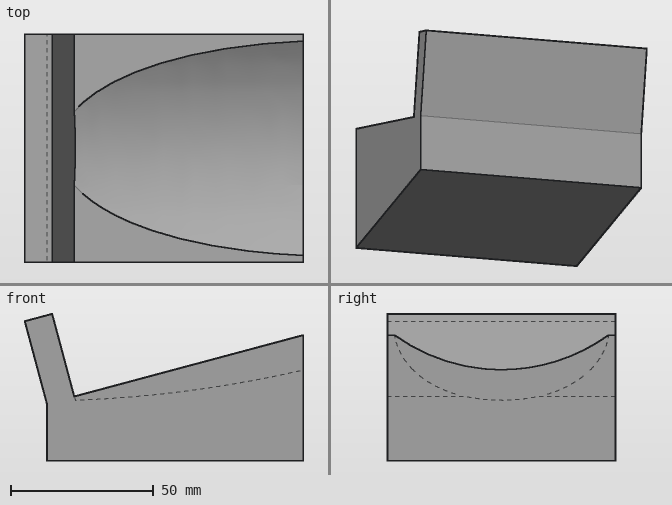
import math

import cadquery as cq

base_length = 90.0
width = 80.0
back_height = 20.0
tilt = math.radians(15.0)

lip_thickness = 10.0
lip_length = 30.0

scoop_axis_x = -6.0
scoop_floor_height = 21.0
scoop_floor_radius = 427.0
scoop_cross_radius = 65.5


def on_slope(along, above):
    """XZ point at a distance along the sloping top and square above it."""
    x = along * math.cos(tilt) - above * math.sin(tilt)
    z = back_height + along * math.sin(tilt) + above * math.cos(tilt)
    return (x, z)


lip_foot = on_slope(lip_thickness, 0)
front_height = back_height + base_length * math.tan(tilt)


def make_body():
    """Wedge and lip as one outline, extruded across the width."""
    return (
        cq.Workplane("XZ")
        .polyline([
            (0, 0),
            (base_length, 0),
            (base_length, front_height),
            lip_foot,
            on_slope(lip_thickness, lip_length),
            on_slope(0, lip_length),
            (0, back_height),
        ])
        .close()
        .extrude(width / 2, both=True)
    )


def make_scoop():
    """Torus cutter, kept only in front of the plane of the lip's inner face."""
    turned = cq.Workplane(
        cq.Solid.makeTorus(
            scoop_floor_radius - scoop_cross_radius,
            scoop_cross_radius,
            cq.Vector(scoop_axis_x, 0, scoop_floor_height + scoop_floor_radius),
            cq.Vector(0, 1, 0),
        )
    )
    in_front_of_lip = (
        cq.Workplane("XZ")
        .polyline([
            on_slope(lip_thickness, -back_height),
            on_slope(lip_thickness + 2 * base_length, -back_height),
            on_slope(lip_thickness + 2 * base_length, lip_length),
            on_slope(lip_thickness, lip_length),
        ])
        .close()
        .extrude(width, both=True)
    )
    return turned.intersect(in_front_of_lip)


result = make_body().cut(make_scoop())